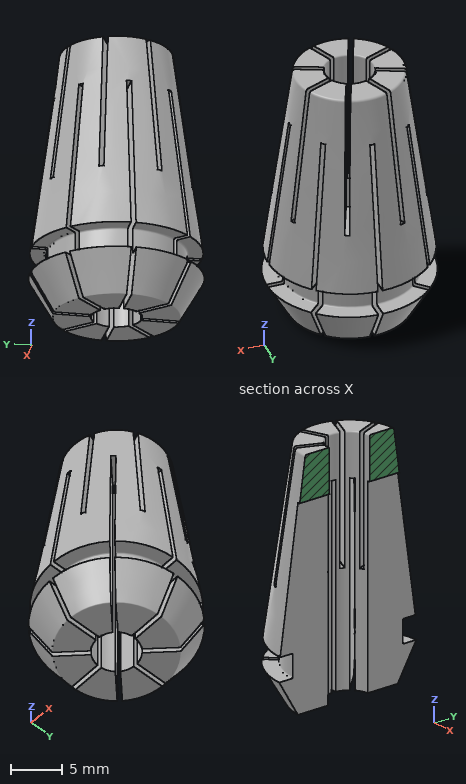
import cadquery as cq
import math

LENGTH = 27.5
FLANGE_RADIUS = 17.25 / 2
BORE_RADIUS = 5.0 / 2

GROOVE_BOTTOM = 4.07
GROOVE_TOP = 6.7
GROOVE_RADIUS = 6.9

NUT_TAPER_ANGLE = 30.0
BODY_TAPER_ANGLE = 8.0
BODY_BASE_RADIUS = 8.5
FOOT_RADIUS = FLANGE_RADIUS - GROOVE_BOTTOM * math.tan(math.radians(NUT_TAPER_ANGLE))
NOSE_RADIUS = BODY_BASE_RADIUS - (LENGTH - GROOVE_TOP) * math.tan(math.radians(BODY_TAPER_ANGLE))

NOSE_FILLET = 0.3
BORE_FILLET = 0.2
GROOVE_FILLET = 0.2
FOOT_FILLET = 0.1
EDGE_TOLERANCE = 0.03

SLOT_WIDTH = 0.5
SLOTS_PER_END = 8
SLOT_PITCH = 360.0 / SLOTS_PER_END
LOWER_SLOT_TOP = 22.5
UPPER_SLOT_BOTTOM = 13.0
SLOT_REACH = FLANGE_RADIUS + 0.28
END_CLEARANCE = 0.28


def turned_body():
    """Solid of revolution with sharp edges."""
    profile = [
        (BORE_RADIUS, 0),
        (FOOT_RADIUS, 0),
        (FLANGE_RADIUS, GROOVE_BOTTOM),
        (GROOVE_RADIUS, GROOVE_BOTTOM),
        (GROOVE_RADIUS, GROOVE_TOP),
        (BODY_BASE_RADIUS, GROOVE_TOP),
        (NOSE_RADIUS, LENGTH),
        (BORE_RADIUS, LENGTH),
    ]
    return cq.Workplane("XZ").polyline(profile).close().revolve(360, (0, 0), (0, 1))


def round_edge(body, radius, height, fillet):
    """Fillet the circular edge of the given radius at the given height."""
    reach = radius + EDGE_TOLERANCE
    low_corner = (-reach, -reach, height - EDGE_TOLERANCE)
    high_corner = (reach, reach, height + EDGE_TOLERANCE)
    enclosed = cq.selectors.BoxSelector(low_corner, high_corner, boundingbox=True)
    largest = cq.selectors.RadiusNthSelector(-1)
    return body.edges("%CIRCLE").edges(enclosed).edges(largest).fillet(fillet)


def radial_slots(bottom, top, first_angle):
    """Ring of radial cutters reaching from the axis past the outside."""
    cutters = cq.Workplane("XY")
    for index in range(SLOTS_PER_END):
        cutter = (
            cq.Workplane("XY")
            .box(SLOT_REACH, SLOT_WIDTH, top - bottom, centered=(False, True, False))
            .translate((0, 0, bottom))
            .rotate((0, 0, 0), (0, 0, 1), first_angle + index * SLOT_PITCH)
        )
        cutters = cutters.add(cutter)
    return cutters.combine()


body = turned_body()
body = round_edge(body, NOSE_RADIUS, LENGTH, NOSE_FILLET)
body = round_edge(body, BORE_RADIUS, LENGTH, BORE_FILLET)
body = round_edge(body, GROOVE_RADIUS, GROOVE_TOP, GROOVE_FILLET)
body = round_edge(body, GROOVE_RADIUS, GROOVE_BOTTOM, GROOVE_FILLET)
body = round_edge(body, FOOT_RADIUS, 0, FOOT_FILLET)

lower_slots = radial_slots(-END_CLEARANCE, LOWER_SLOT_TOP, 0)
upper_slots = radial_slots(UPPER_SLOT_BOTTOM, LENGTH + END_CLEARANCE, SLOT_PITCH / 2)
result = body.cut(lower_slots).cut(upper_slots)